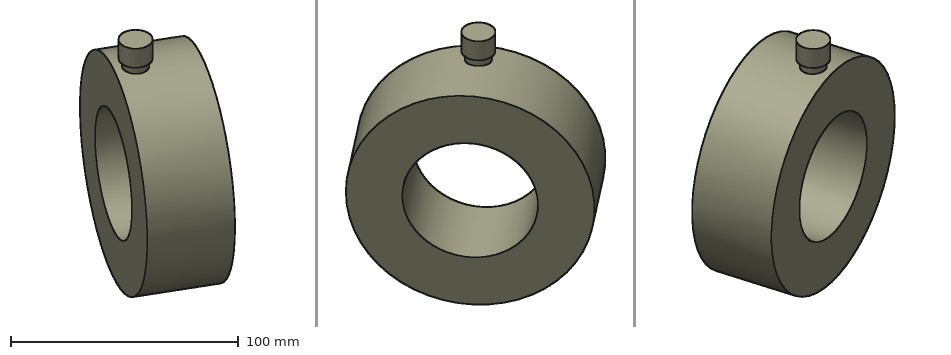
import cadquery as cq

ring_diameter = 110.0
bore_diameter = 60.0
ring_width = 40.0

overall_height = 124.0
head_diameter = 15.0
head_height = 10.0
neck_diameter = 12.0
pin_from_front = 10.0
neck_embed = 2.5

ring_radius = ring_diameter / 2
pin_top = overall_height - ring_radius
head_bottom = pin_top - head_height
neck_bottom = ring_radius - neck_embed
pin_y = pin_from_front - ring_width / 2


def make_ring():
    return (
        cq.Workplane("XZ", origin=(0, ring_width / 2, 0))
        .circle(ring_radius)
        .circle(bore_diameter / 2)
        .extrude(ring_width)
    )


def make_pin():
    neck = (
        cq.Workplane("XY", origin=(0, pin_y, neck_bottom))
        .circle(neck_diameter / 2)
        .extrude(head_bottom - neck_bottom)
    )
    head = (
        cq.Workplane("XY", origin=(0, pin_y, head_bottom))
        .circle(head_diameter / 2)
        .extrude(head_height)
    )
    return neck.union(head)


result = make_ring().union(make_pin())